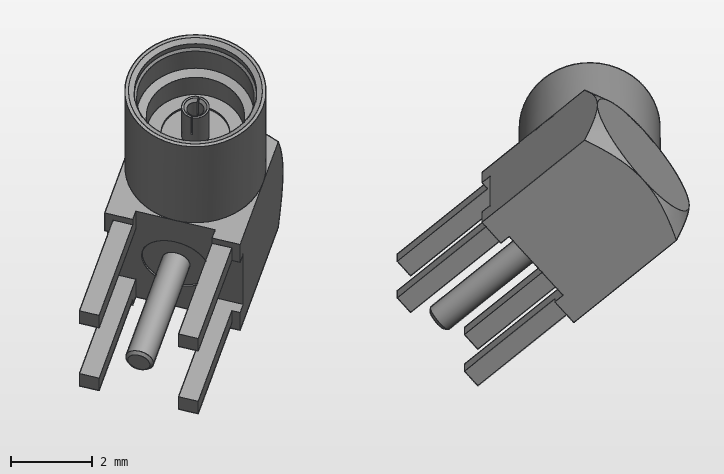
import cadquery as cq
import math

body_width = 3.455
body_half = body_width / 2
total_height = 6.51
total_length = 6.63
front_end_y = body_half - total_length
solder_axis_z = body_half

rear_cone_angle = 30.0

mouth_diameter = 3.275
entry_diameter = 3.0
bore_diameter = 2.88
well_diameter = 2.41
mouth_depth = 0.065
entry_depth = 0.22
bore_start_depth = 0.285
bore_depth = 0.975
well_start_depth = 1.035
well_depth = 1.725
floor_recess_diameter = 1.69
floor_recess = 0.05

contact_diameter = 0.675
contact_hole_diameter = 0.42
contact_lip_diameter = 0.57
contact_top_depth = 0.66
contact_hole_depth = 0.795
contact_lip_depth = 0.08
contact_slot_width = 0.04
contact_slot_depth = 0.66

pad_size = 0.715
pad_height = 0.265
leg_size = 0.505
solder_pin_diameter = 0.71
solder_pin_chamfer = 0.07
insulator_diameter = 1.725
insulator_recess = 0.05


def make_body():
    """Cube whose rear corners are trimmed by a cone around the solder pin axis."""
    block = cq.Workplane("XY").box(body_width, body_width, body_width, centered=(True, True, False))
    cone_base_radius = body_half + body_width * math.tan(math.radians(90 - rear_cone_angle))
    envelope = (
        cq.Workplane("XY")
        .polyline([(0, body_half), (body_half, body_half), (cone_base_radius, -body_half), (0, -body_half)])
        .close()
        .revolve(360, (0, 0, 0), (0, 1, 0))
        .translate((0, 0, solder_axis_z))
    )
    return block.intersect(envelope)


def make_socket_cavity():
    """Stepped, tapered socket interior revolved around Z."""
    return (
        cq.Workplane("XZ")
        .moveTo(0, total_height)
        .lineTo(mouth_diameter / 2, total_height)
        .lineTo(entry_diameter / 2, total_height - mouth_depth)
        .lineTo(entry_diameter / 2, total_height - entry_depth)
        .lineTo(bore_diameter / 2, total_height - bore_start_depth)
        .lineTo(bore_diameter / 2, total_height - bore_depth)
        .lineTo(well_diameter / 2, total_height - well_start_depth)
        .lineTo(well_diameter / 2, total_height - well_depth)
        .lineTo(floor_recess_diameter / 2, total_height - well_depth)
        .lineTo(floor_recess_diameter / 2, total_height - well_depth - floor_recess)
        .lineTo(0, total_height - well_depth - floor_recess)
        .close()
        .revolve(360, (0, 0, 0), (0, 1, 0))
    )


def make_contact():
    """Hollow contact with a countersunk mouth and a slot across it along Y."""
    floor_z = total_height - well_depth - floor_recess
    top_z = total_height - contact_top_depth
    hole_radius = contact_hole_diameter / 2
    hole = (
        cq.Workplane("XZ")
        .moveTo(0, top_z)
        .lineTo(contact_lip_diameter / 2, top_z)
        .lineTo(hole_radius, top_z - contact_lip_depth)
        .lineTo(hole_radius, top_z - contact_hole_depth)
        .lineTo(0, top_z - contact_hole_depth)
        .close()
        .revolve(360, (0, 0, 0), (0, 1, 0))
    )
    slot = cq.Workplane("XY").box(contact_slot_width, contact_diameter, contact_slot_depth)
    slot = slot.translate((0, 0, top_z - contact_slot_depth / 2))
    post = cq.Workplane("XY").workplane(offset=floor_z).circle(contact_diameter / 2).extrude(top_z - floor_z)
    return post.cut(hole).cut(slot)


def front_plane(y):
    """Workplane facing -Y, with its origin on the solder pin axis."""
    return cq.Workplane("XZ", origin=(0, y, solder_axis_z))


def make_corner_leg(side_x, side_z):
    """Standoff pad in one corner and the square leg flush with its inner sides."""
    pad_centre = body_half - pad_size / 2
    leg_centre = body_half - pad_size + leg_size / 2
    pad = (
        front_plane(-body_half)
        .center(side_x * pad_centre, side_z * pad_centre)
        .rect(pad_size, pad_size)
        .extrude(pad_height)
    )
    leg = (
        front_plane(-body_half)
        .center(side_x * leg_centre, side_z * leg_centre)
        .rect(leg_size, leg_size)
        .extrude(-body_half - front_end_y)
    )
    return pad.union(leg)


def make_solder_pin():
    """Round pin rising from the insulator recess to the level of the leg ends."""
    recess_y = insulator_recess - body_half
    return (
        front_plane(recess_y)
        .circle(solder_pin_diameter / 2)
        .extrude(recess_y - front_end_y)
        .faces("<Y")
        .chamfer(solder_pin_chamfer)
    )


barrel = (
    cq.Workplane("XY")
    .workplane(offset=body_width)
    .circle(body_half)
    .extrude(total_height - body_width)
)
insulator_pocket = front_plane(-body_half).circle(insulator_diameter / 2).extrude(-insulator_recess)

result = make_body().union(barrel).cut(make_socket_cavity()).cut(insulator_pocket)
result = result.union(make_contact()).union(make_solder_pin())
for side_x in (-1, 1):
    for side_z in (-1, 1):
        result = result.union(make_corner_leg(side_x, side_z))